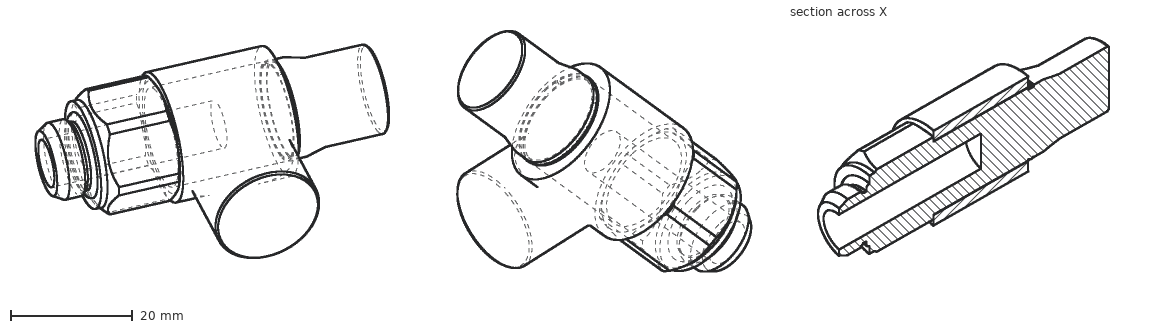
import cadquery as cq
import math

TOTAL_LENGTH = 57.2

TEE_START = 20.0
TEE_LENGTH = 20.1
TEE_RADIUS = 11.01
TEE_END = TEE_START + TEE_LENGTH
TEE_MIDDLE = TEE_START + TEE_LENGTH / 2
OVERALL_WIDTH = 35.5
BRANCH_RADIUS = 9.05
BRANCH_REACH = OVERALL_WIDTH - TEE_RADIUS
BRANCH_CHAMFER = 0.35
BRANCH_FILLET = 0.5

THREAD_RADIUS = 6.5
TIP_RADIUS = 5.5
TIP_CHAMFER_LENGTH = 1.8
THREAD_END = 4.5
NECK_RADIUS = 5.85
NECK_START = 5.2
NECK_END = 5.8
PORT_RADIUS = 4.0
PORT_DEPTH = TEE_MIDDLE

BEAD_INNER_RADIUS = 6.5
BEAD_OUTER_RADIUS = 7.25
FLANGE_START = 6.4
FLANGE_RADIUS = 9.1

HEX_START = 7.5
HEX_ACROSS_FLATS = 19.15
HEX_CORNER_RADIUS = 10.6
HEX_FRONT_CHAMFER = 1.5
HEX_BACK_CHAMFER_LENGTH = 0.65
HEX_BACK_RADIUS = 9.5

SHANK_RADIUS = 8.4
COLLAR_END = 43.3
TUBE_START = 46.8
TUBE_RADIUS = 7.55
TUBE_CHAMFER = 0.35

RING_CENTRE = 40.7
RING_RADIUS = 8.0
RING_WIRE_RADIUS = 0.5
RING_GAP = 0.5


def cylinder_y(radius, start, end):
    """Solid cylinder around the Y axis."""
    return cq.Workplane("XZ", origin=(0, start, 0)).circle(radius).extrude(start - end)


def make_tee():
    """Sleeve with a side branch, bored for the stem."""
    sleeve = cylinder_y(TEE_RADIUS, TEE_START, TEE_END)
    branch = (
        cq.Workplane("YZ", origin=(0, TEE_MIDDLE, 0))
        .circle(BRANCH_RADIUS)
        .extrude(BRANCH_REACH)
        .faces(">X")
        .chamfer(BRANCH_CHAMFER)
    )
    body = sleeve.union(branch)
    joint = cq.selectors.BoxSelector(
        (0.6, TEE_START + 0.6, -TEE_RADIUS),
        (TEE_RADIUS, TEE_END - 0.6, TEE_RADIUS),
    )
    body = body.edges(joint).fillet(BRANCH_FILLET)
    return body.cut(cylinder_y(SHANK_RADIUS, TEE_START, TEE_END))


def make_turned_stem():
    """Round profile of the stem, without the hexagon."""
    bead_offset = math.sqrt(0.5)
    bead_mid = (
        BEAD_INNER_RADIUS + (BEAD_OUTER_RADIUS - BEAD_INNER_RADIUS) * bead_offset,
        FLANGE_START - (FLANGE_START - NECK_END) * bead_offset,
    )
    groove_start = RING_CENTRE - RING_WIRE_RADIUS
    groove_end = RING_CENTRE + RING_WIRE_RADIUS
    return (
        cq.Workplane("XY")
        .moveTo(0, 0)
        .lineTo(TIP_RADIUS, 0)
        .lineTo(THREAD_RADIUS, TIP_CHAMFER_LENGTH)
        .lineTo(THREAD_RADIUS, THREAD_END)
        .lineTo(NECK_RADIUS, NECK_START)
        .lineTo(NECK_RADIUS, NECK_END)
        .lineTo(BEAD_INNER_RADIUS, NECK_END)
        .threePointArc(bead_mid, (BEAD_OUTER_RADIUS, FLANGE_START))
        .lineTo(FLANGE_RADIUS, FLANGE_START)
        .lineTo(FLANGE_RADIUS, HEX_START)
        .lineTo(SHANK_RADIUS, HEX_START)
        .lineTo(SHANK_RADIUS, groove_start)
        .lineTo(RING_RADIUS, groove_start)
        .lineTo(RING_RADIUS, groove_end)
        .lineTo(SHANK_RADIUS, groove_end)
        .lineTo(SHANK_RADIUS, COLLAR_END)
        .lineTo(TUBE_RADIUS, TUBE_START)
        .lineTo(TUBE_RADIUS, TOTAL_LENGTH - TUBE_CHAMFER)
        .lineTo(TUBE_RADIUS - TUBE_CHAMFER, TOTAL_LENGTH)
        .lineTo(0, TOTAL_LENGTH)
        .close()
        .revolve(360, (0, 0), (0, 1))
    )


def make_hexagon():
    """Hexagon with flats facing +Z and -Z, trimmed by a turned envelope."""
    prism = (
        cq.Workplane("XZ", origin=(0, HEX_START, 0))
        .polygon(6, HEX_ACROSS_FLATS / math.cos(math.pi / 6))
        .extrude(HEX_START - TEE_START)
    )
    envelope = (
        cq.Workplane("XY")
        .moveTo(0, HEX_START)
        .lineTo(FLANGE_RADIUS, HEX_START)
        .lineTo(HEX_CORNER_RADIUS, HEX_START + HEX_FRONT_CHAMFER)
        .lineTo(HEX_CORNER_RADIUS, TEE_START - HEX_BACK_CHAMFER_LENGTH)
        .lineTo(HEX_BACK_RADIUS, TEE_START)
        .lineTo(0, TEE_START)
        .close()
        .revolve(360, (0, 0), (0, 1))
    )
    return prism.intersect(envelope)


def make_ring():
    """Round-wire ring with its gap at the top."""
    ring = (
        cq.Workplane("XY")
        .center(RING_RADIUS, RING_CENTRE)
        .circle(RING_WIRE_RADIUS)
        .revolve(360, (-RING_RADIUS, 0), (-RING_RADIUS, 1))
    )
    gap = cq.Workplane("XY", origin=(0, RING_CENTRE, RING_RADIUS)).box(
        RING_GAP, 4 * RING_WIRE_RADIUS, 4 * RING_WIRE_RADIUS
    )
    return ring.cut(gap)


def make_stem():
    """Stem running through the tee, with its hexagon, ring and blind port."""
    port = cylinder_y(PORT_RADIUS, 0, PORT_DEPTH)
    return make_turned_stem().union(make_hexagon()).union(make_ring()).cut(port)


tee = make_tee()
stem = make_stem()
result = cq.Compound.makeCompound([*tee.solids().vals(), *stem.solids().vals()])